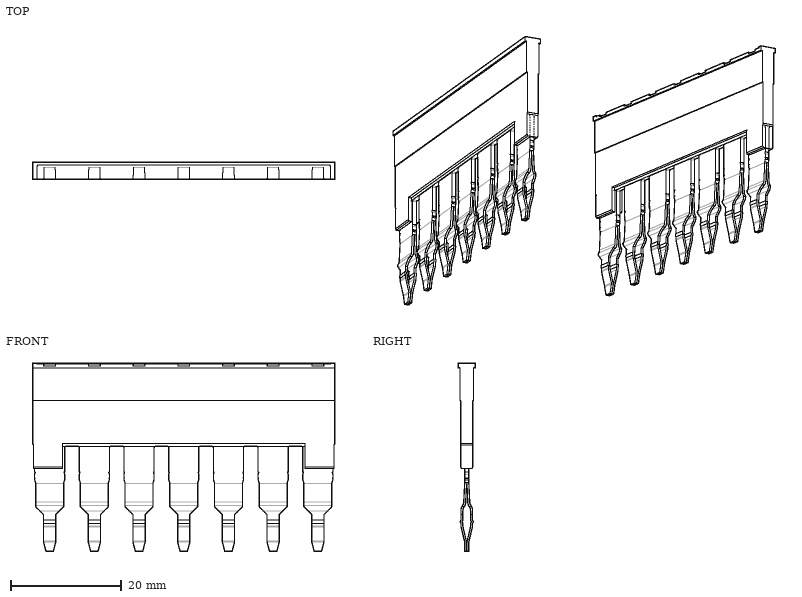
import cadquery as cq
import math


prong_count = 7
pitch = 8.1
row_length = 54.8
overall_height = 34.11
prong_centers = [(i - (prong_count - 1) / 2) * pitch for i in range(prong_count)]

cap_thickness = 3.1
cap_height = 0.85
upper_thickness = 2.5
upper_bottom_z = -6.8
lower_thickness = 2.2
housing_bottom_z = -14.55
leg_bottom_z = -19.1
leg_inner_x = row_length / 2 - 5.45
end_step = 0.13
end_step_height = 0.3
leg_chamfer_depth = 0.15
leg_chamfer_height = 0.28

recess_depth = 0.2
recess_end_wall = 0.85
recess_back_wall = 0.5
recess_corner_radius = 0.2
pocket_back_y = 0.6
pocket_back_width = 2.0
pocket_front_width = 2.15
pocket_front_depth = 0.5

sheet = 0.4
bar_thickness = 1.0
bar_top_z = -8.0
bar_bottom_z = -15.1
bar_corner_radius = 0.2

shank_half = 2.75
blade_half = 2.56
neck_half = 1.13
tip_half = 0.68
barb_top_z = -19.75
barb_bottom_z = -20.15
barb_depth = 0.12
nick_z = -20.85
nick_size = 0.06
shank_bottom_z = -21.15
blade_top_z = -21.65
shoulder_z = -26.0
neck_top_z = shoulder_z - (blade_half - neck_half)
tip_top_z = -32.4
tip_z = -overall_height

split_z = -21.8
flare_outer_y = 0.57
flare_top_z = -25.2
bow_outer_y = 1.08
bow_inner_y = bow_outer_y - sheet
bow_top_z = -26.75
bow_bottom_z = -29.6
closing_z = -32.35
tip_gap = 0.05
bend_radius = 0.7
flare_concave_share = 0.37
ridge_z = -28.75
ridge_half_height = 0.3
ridge_top_z = ridge_z + ridge_half_height
ridge_bottom_z = ridge_z - ridge_half_height
ridge_height = 0.1


def block(length, thickness, top_z, bottom_z):
    """Box centered in X and Y between two heights."""
    box = cq.Workplane("XY").workplane(offset=bottom_z)
    return box.rect(length, thickness).extrude(top_z - bottom_z)


def housing_front_outline():
    """Full front outline: stepped ends, with the gap between the two end legs."""
    end_x = row_length / 2
    leg_outer_x = end_x - end_step
    step_bottom_z = housing_bottom_z - end_step_height
    right_side = [
        (end_x, 0),
        (end_x, housing_bottom_z),
        (leg_outer_x, step_bottom_z),
        (leg_outer_x, leg_bottom_z),
        (leg_inner_x, leg_bottom_z),
        (leg_inner_x, housing_bottom_z),
    ]
    left_side = [(-x, z) for x, z in reversed(right_side)]
    outline = cq.Workplane("XZ").polyline(right_side + left_side).close()
    return outline.extrude(cap_thickness / 2, both=True)


def housing_end_profile():
    """Stepped thickness of the housing, chamfered at the bottom of the legs."""
    chamfer_top_z = leg_bottom_z + leg_chamfer_height
    right_side = [
        (cap_thickness / 2, 0),
        (cap_thickness / 2, -cap_height),
        (upper_thickness / 2, -cap_height),
        (upper_thickness / 2, upper_bottom_z),
        (lower_thickness / 2, upper_bottom_z),
        (lower_thickness / 2, chamfer_top_z),
        (lower_thickness / 2 - leg_chamfer_depth, leg_bottom_z),
    ]
    left_side = [(-y, z) for y, z in reversed(right_side)]
    profile = cq.Workplane("YZ").polyline(right_side + left_side).close()
    return profile.extrude(row_length / 2, both=True)


def label_recess():
    """Shallow recess in the top face, closed at the back and the ends."""
    length = row_length - 2 * recess_end_wall
    recess = block(length, cap_thickness, 0, -recess_depth)
    recess = recess.translate((0, -recess_back_wall, 0))
    return recess.edges("|Z and >Y").fillet(recess_corner_radius)


def label_pocket(center_x):
    """Tapered pocket whose floor slopes down toward the front face."""
    front_y = -cap_thickness / 2
    plan = (
        cq.Workplane("XY")
        .polyline([
            (center_x - pocket_front_width / 2, front_y),
            (center_x + pocket_front_width / 2, front_y),
            (center_x + pocket_back_width / 2, pocket_back_y),
            (center_x - pocket_back_width / 2, pocket_back_y),
        ])
        .close()
        .extrude(-pocket_front_depth)
    )
    wedge = (
        cq.Workplane("YZ")
        .polyline([
            (front_y, -recess_depth),
            (front_y, -pocket_front_depth),
            (pocket_back_y, -recess_depth),
        ])
        .close()
        .extrude(row_length / 2, both=True)
    )
    return plan.intersect(wedge)


def prong_front_outline(center_x):
    """Front outline of one prong from the bar down to its tip."""
    right_side = [
        (shank_half, bar_top_z),
        (shank_half, barb_top_z),
        (shank_half - barb_depth, barb_top_z),
        (shank_half, barb_bottom_z),
        (shank_half, nick_z + nick_size),
        (shank_half - nick_size, nick_z),
        (shank_half, nick_z - nick_size),
        (shank_half, shank_bottom_z),
        (blade_half, blade_top_z),
        (blade_half, shoulder_z),
        (neck_half, neck_top_z),
        (neck_half, tip_top_z),
        (tip_half, tip_z),
    ]
    left_side = [(-x, z) for x, z in reversed(right_side)]
    points = [(center_x + x, z) for x, z in right_side + left_side]
    outline = cq.Workplane("XZ").polyline(points).close()
    return outline.extrude(bow_outer_y + ridge_height, both=True)


def comb_plan():
    """Front outline of the whole comb: bar, prongs and rounded roots."""
    bar_length = 2 * (prong_centers[-1] + shank_half)
    comb = block(bar_length, 2 * (bow_outer_y + ridge_height), bar_top_z, bar_bottom_z)
    for center_x in prong_centers:
        comb = comb.union(prong_front_outline(center_x))
    root_band = cq.selectors.BoxSelector(
        (-row_length, -cap_thickness, bar_bottom_z - bar_corner_radius),
        (row_length, cap_thickness, bar_bottom_z + bar_corner_radius),
    )
    return comb.edges("|Y").edges(root_band).fillet(bar_corner_radius)


def flare_arcs(inset):
    """S-bend of a sheet surface lying `inset` inside its outer face: two (middle, end) pairs."""
    rise = bow_outer_y - flare_outer_y
    drop = flare_top_z - bow_top_z
    angle = 2 * math.atan(rise / drop)
    radius_sum = drop / math.sin(angle)
    concave_radius = radius_sum * flare_concave_share
    convex_radius = radius_sum - concave_radius

    def concave_point(turn):
        radius = concave_radius + inset
        center_y = flare_outer_y + concave_radius
        return (center_y - radius * math.cos(turn), flare_top_z - radius * math.sin(turn))

    def convex_point(turn):
        radius = convex_radius - inset
        center_y = bow_outer_y - convex_radius
        return (center_y + radius * math.cos(turn), bow_top_z + radius * math.sin(turn))

    joint = concave_point(angle)
    return (concave_point(angle / 2), joint), (convex_point(angle / 2), convex_point(0))


def spring_half():
    """The +Y sheet together with the +Y half of the solid shank."""
    outer_concave, outer_convex = flare_arcs(0)
    inner_concave, inner_convex = flare_arcs(sheet)
    profile = (
        cq.Workplane("YZ")
        .moveTo(0, bar_top_z)
        .lineTo(bar_thickness / 2, bar_top_z)
        .lineTo(bar_thickness / 2, bar_bottom_z)
        .lineTo(sheet, bar_bottom_z)
        .lineTo(sheet, split_z)
        .lineTo(flare_outer_y, flare_top_z)
        .threePointArc(*outer_concave)
        .threePointArc(*outer_convex)
        .lineTo(bow_outer_y, ridge_top_z)
        .threePointArc((bow_outer_y + ridge_height, ridge_z), (bow_outer_y, ridge_bottom_z))
        .lineTo(bow_outer_y, bow_bottom_z)
        .lineTo(sheet, closing_z)
        .lineTo(sheet, tip_z)
        .lineTo(tip_gap / 2, tip_z)
        .lineTo(tip_gap / 2, closing_z)
        .lineTo(bow_inner_y, bow_bottom_z)
        .lineTo(bow_inner_y, ridge_bottom_z)
        .threePointArc((bow_inner_y + ridge_height, ridge_z), (bow_inner_y, ridge_top_z))
        .lineTo(*inner_convex[1])
        .threePointArc(inner_convex[0], inner_concave[1])
        .threePointArc(inner_concave[0], (flare_outer_y - sheet, flare_top_z))
        .lineTo(0, split_z)
        .close()
    )
    half = profile.extrude(row_length / 2, both=True)
    for bend in ((bow_outer_y, bow_bottom_z), (sheet, closing_z)):
        half = half.edges(cq.NearestToPointSelector((0, *bend))).fillet(bend_radius)
    return half


def make_contact():
    """Comb outline given the spring profile, the same on both sides of its middle plane."""
    half = spring_half()
    spring = half.union(half.mirror("XZ"))
    return comb_plan().intersect(spring)


def make_housing(contact):
    """Housing with a slot that fits the comb exactly."""
    housing = housing_front_outline().intersect(housing_end_profile())
    housing = housing.cut(label_recess())
    for center_x in prong_centers:
        housing = housing.cut(label_pocket(center_x))
    return housing.cut(contact)


contact = make_contact()
housing = make_housing(contact)

result = cq.Compound.makeCompound([housing.val(), contact.val()])